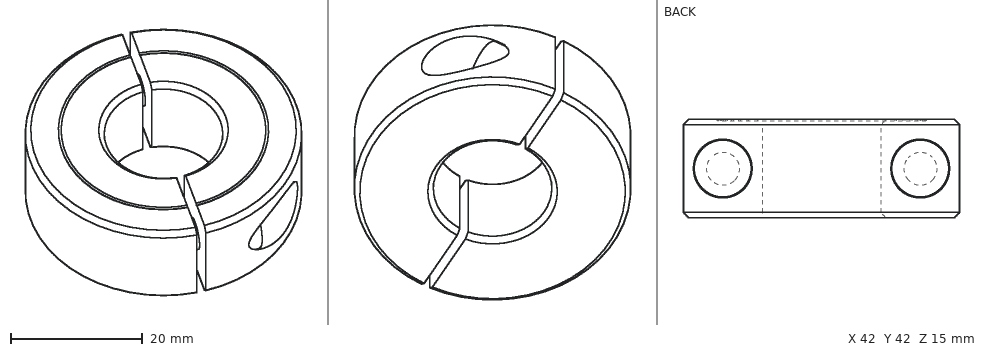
import cadquery as cq

OUTER_RADIUS = 21.0
BORE_RADIUS = 9.0
WIDTH = 15.0
EDGE_CHAMFER = 0.85
SPLIT_GAP = 1.43

GROOVE_RADIUS = 15.75
GROOVE_SECTION_RADIUS = 0.2

SCREW_OFFSET = 15.0
SHANK_DIAMETER = 5.0
SHANK_LENGTH = 16.0
HEAD_DIAMETER = 8.65
HEAD_HEIGHT = 5.0
HEAD_TOP_Y = 10.15
HEAD_FILLET = 0.38
COUNTERBORE_DIAMETER = 8.9

SEAT_Y = HEAD_TOP_Y - HEAD_HEIGHT
SHANK_END_Y = SEAT_Y - SHANK_LENGTH
SCREW_POSITIONS = (-SCREW_OFFSET, SCREW_OFFSET)


def cylinder_along_y(x, diameter, y_start, y_end):
    """Cylinder parallel to Y at mid-width, from y_start up to y_end."""
    return (
        cq.Workplane("XZ", origin=(x, y_start, 0))
        .circle(diameter / 2)
        .extrude(y_start - y_end)
    )


def make_groove_cutter():
    """Torus centred on the upper face; its lower half forms the groove."""
    return cq.Workplane(
        cq.Solid.makeTorus(GROOVE_RADIUS, GROOVE_SECTION_RADIUS, cq.Vector(0, 0, WIDTH / 2))
    )


def make_ring():
    """Whole collar before splitting, with all four rims chamfered."""
    ring = (
        cq.Workplane("XY", origin=(0, 0, -WIDTH / 2))
        .circle(OUTER_RADIUS)
        .circle(BORE_RADIUS)
        .extrude(WIDTH)
        .faces("<Z or >Z")
        .edges()
        .chamfer(EDGE_CHAMFER)
    )
    return ring.cut(make_groove_cutter())


def make_half(side):
    """Plain half of the ring: side is +1 for the +Y half and -1 for the -Y half."""
    half_depth = OUTER_RADIUS - SPLIT_GAP / 2
    centre_y = side * (SPLIT_GAP / 2 + half_depth / 2)
    keep = cq.Workplane("XY", origin=(0, centre_y, 0)).box(2 * OUTER_RADIUS, half_depth, WIDTH)
    return make_ring().intersect(keep)


def make_head_half():
    """+Y half: a through hole for each shank and a counterbore for each head."""
    half = make_half(1)
    for x in SCREW_POSITIONS:
        half = half.cut(cylinder_along_y(x, SHANK_DIAMETER, 0, SEAT_Y))
        half = half.cut(cylinder_along_y(x, COUNTERBORE_DIAMETER, SEAT_Y, OUTER_RADIUS))
    return half


def make_threaded_half():
    """-Y half: a blind hole that holds the end of each shank."""
    half = make_half(-1)
    for x in SCREW_POSITIONS:
        half = half.cut(cylinder_along_y(x, SHANK_DIAMETER, SHANK_END_Y, 0))
    return half


def make_screw(x):
    """Cap screw with a rounded head rim, head towards +Y."""
    head = cylinder_along_y(x, HEAD_DIAMETER, SEAT_Y, HEAD_TOP_Y).edges(">Y").fillet(HEAD_FILLET)
    shank = cylinder_along_y(x, SHANK_DIAMETER, SHANK_END_Y, SEAT_Y)
    return head.union(shank)


head_half = make_head_half()
threaded_half = make_threaded_half()
screws = [make_screw(x) for x in SCREW_POSITIONS]

result = cq.Compound.makeCompound(
    [head_half.val(), threaded_half.val(), *[screw.val() for screw in screws]]
)